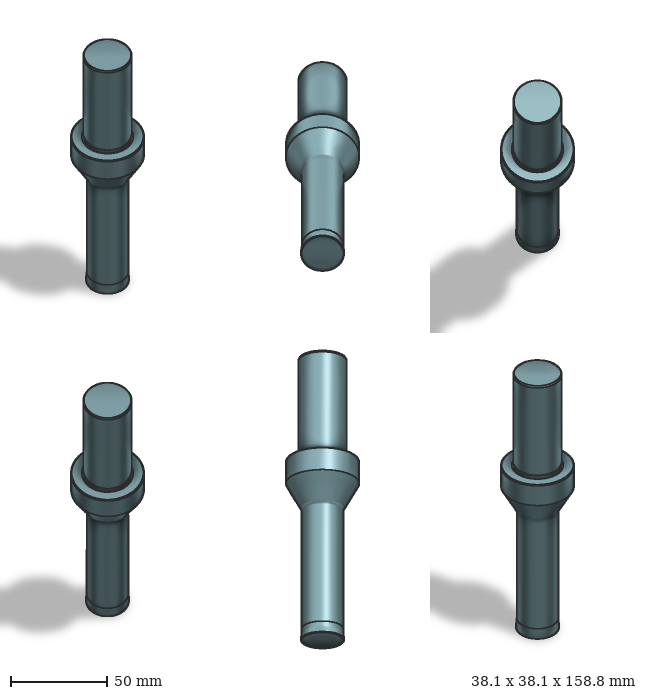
import cadquery as cq

total_length = 158.75
shank_length = 57.15
collar_length = 12.7
cone_length = 14.7
collar_top = total_length - shank_length
collar_bottom = collar_top - collar_length
cone_bottom = collar_bottom - cone_length

shank_radius = 25.4 / 2
shank_chamfer_width = 0.5
shank_chamfer_height = 1.0

neck_radius = 12.2
groove_top = collar_top + 1.9
groove_taper_height = 0.5
recess_radius = 13.4
recess_depth = 0.8

collar_radius = 38.1 / 2
collar_chamfer = 0.5
stem_radius = 10.9
cone_fillet = 3.6
selection_margin = 0.1

joint_height = 7.1
flare_middle = (10.92, 5.6)
flare_bottom = (10.98, 4.1)
nose_rim = (11.3, 1.8)
rim_bevel = (11.25, 1.1)
face_bevel = (10.8, 0.65)
face_edge = (8.8, 0.2)


def turn(outline):
    """Revolve a closed half outline (radius, height) about Z."""
    return outline.close().revolve(360, (0, 0, 0), (0, 1, 0))


def make_holder():
    """Shank, collar, cone and stem, down to the flat joint with the nose."""
    body = turn(
        cq.Workplane("XZ")
        .moveTo(0, joint_height)
        .lineTo(stem_radius, joint_height)
        .lineTo(stem_radius, cone_bottom)
        .lineTo(collar_radius, collar_bottom)
        .lineTo(collar_radius, collar_top - collar_chamfer)
        .lineTo(collar_radius - collar_chamfer, collar_top)
        .lineTo(recess_radius, collar_top)
        .lineTo(neck_radius, collar_top - recess_depth)
        .lineTo(neck_radius, groove_top - groove_taper_height)
        .lineTo(shank_radius, groove_top)
        .lineTo(shank_radius, total_length - shank_chamfer_height)
        .lineTo(shank_radius - shank_chamfer_width, total_length)
        .lineTo(0, total_length)
    )
    cone_to_stem = cq.selectors.BoxSelector(
        (-collar_radius, -collar_radius, cone_bottom - selection_margin),
        (collar_radius, collar_radius, cone_bottom + selection_margin),
    )
    return body.edges(cone_to_stem).fillet(cone_fillet)


def make_nose():
    """Working end below the joint, flaring out from the stem radius to its rim."""
    return turn(
        cq.Workplane("XZ")
        .lineTo(*face_edge)
        .lineTo(*face_bevel)
        .lineTo(*rim_bevel)
        .lineTo(*nose_rim)
        .lineTo(*flare_bottom)
        .threePointArc(flare_middle, (stem_radius, joint_height))
        .lineTo(0, joint_height)
    )


holder = make_holder()
nose = make_nose()
result = cq.Compound.makeCompound([holder.val(), nose.val()])